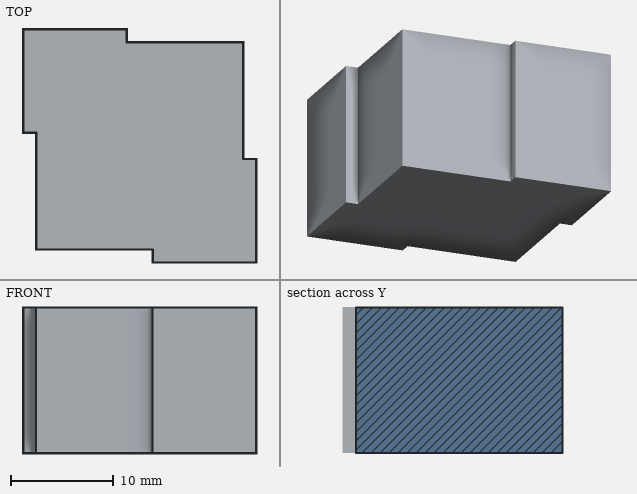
import cadquery as cq

overall_width = 22.86
height = 14.3
step_depth = 1.27
lug_length = 10.16

half_width = overall_width / 2
inset = half_width - step_depth
lug_end = half_width - lug_length


def half_outline():
    """Points from the recessed -X/-Y corner round the +X/-Y lug to the recessed +X face."""
    return [
        (-inset, -inset),
        (lug_end, -inset),
        (lug_end, -half_width),
        (half_width, -half_width),
        (half_width, -lug_end),
        (inset, -lug_end),
    ]


def block():
    """Stepped block whose outline repeats after half a turn about Z."""
    first_half = half_outline()
    second_half = [(-x, -y) for x, y in first_half]
    outline = first_half + second_half
    return cq.Workplane("XY").polyline(outline).close().extrude(height)


result = block()